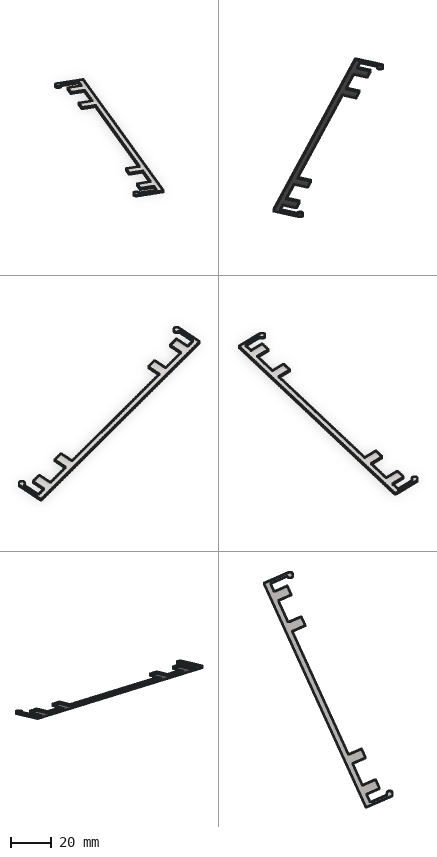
import cadquery as cq

length = 123.8
depth = 15.0
thickness = 1.0

rail_width = 3.0

arm_width = 1.5
bead_radius = 1.5

tab_width = 5.0
tab_reach = 10.0
tab_insets = (8.4, 25.4)

back = depth / 2
bead_y = -depth / 2 + bead_radius


def strip(center_x, width, reach):
    """Rectangular strip running forward from the back edge."""
    return (
        cq.Workplane("XY")
        .center(center_x, back - reach / 2)
        .rect(width, reach)
        .extrude(thickness)
    )


def bead(center_x):
    """Round end of an arm."""
    return cq.Workplane("XY").center(center_x, bead_y).circle(bead_radius).extrude(thickness)


result = strip(0, length, rail_width)
for side in (-1, 1):
    result = result.union(strip(side * (length - arm_width) / 2, arm_width, back - bead_y))
    result = result.union(bead(side * (length / 2 - bead_radius)))
    for inset in tab_insets:
        result = result.union(strip(side * (length / 2 - inset), tab_width, tab_reach))

result = result.translate((0, 0, -thickness / 2))